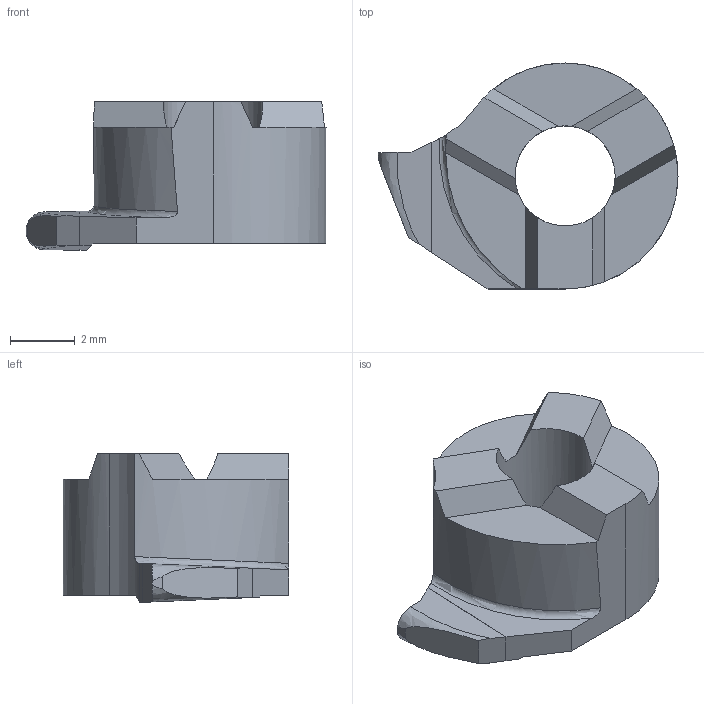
import cadquery as cq
import math


body_radius = 3.5
bore_radius = 1.55
body_height = 4.4
lug_height = 0.8
lug_count = 3
lug_top_half_width = 0.85
lug_flank_angle = math.radians(25)

joint_x = -4.13
rake_y = 0.73
rake_inner_x = -4.81
tail_angle = math.radians(25)
tail_blend_radius = 3.0
heel_angle = math.radians(33)
heel_start_x = -2.39

arm_mid_z = 0.39
arm_half_at_rake = 0.59
side_relief_degrees = 2.5
side_relief = math.tan(math.radians(side_relief_degrees))

wall_radius = 4.9
wall_center = (1.2, 0.83)
wall_fillet = 0.2
underside_step_x = -3.72

nose_x = -5.8
nose_sweep_radius = 5.8
land_length = 0.317
land_angle = math.radians(7)
flank_end_y = -1.9
nose_section_degrees = (-8, 8, 24, 40)

reach = 12.0


def heel_y(x):
    """Y of the slanting heel edge at the given X."""
    return -body_radius + (heel_start_x - x) * math.tan(heel_angle)


def heel_x(y):
    """X of the slanting heel edge at the given Y."""
    return heel_start_x - (y + body_radius) / math.tan(heel_angle)


def tail_y(x):
    """Y of the straight tail edge at the given X."""
    return rake_y + (x - rake_inner_x) * math.tan(tail_angle)


def tail_blend_points():
    """Start, middle and end of the arc that blends the tail edge into the body circle."""
    along = (math.cos(tail_angle), math.sin(tail_angle))
    outward = (-along[1], along[0])
    offset = outward[1] * rake_y + outward[0] * rake_inner_x + tail_blend_radius
    center_distance = body_radius + tail_blend_radius
    run = -math.sqrt(center_distance**2 - offset**2)
    center = (outward[0] * offset + along[0] * run, outward[1] * offset + along[1] * run)
    line_angle = tail_angle - math.pi / 2
    circle_angle = math.atan2(-center[1], -center[0])
    angles = (line_angle, (line_angle + circle_angle) / 2, circle_angle)
    return [
        (center[0] + tail_blend_radius * math.cos(a), center[1] + tail_blend_radius * math.sin(a))
        for a in angles
    ]


def body_blank():
    """Prism of the body outline with the bore, deep enough to hold the underside pad."""
    blend_start, blend_middle, blend_end = tail_blend_points()
    return (
        cq.Workplane("XY", origin=(0, 0, -arm_half_at_rake))
        .moveTo(0, -body_radius)
        .lineTo(heel_start_x, -body_radius)
        .lineTo(joint_x, heel_y(joint_x))
        .lineTo(joint_x, tail_y(joint_x))
        .lineTo(*blend_start)
        .threePointArc(blend_middle, blend_end)
        .threePointArc((body_radius, 0), (0, -body_radius))
        .close()
        .extrude(body_height + arm_half_at_rake)
        .cut(cq.Workplane("XY").circle(bore_radius).extrude(2 * reach, both=True))
    )


def lug_gaps():
    """Space between the drive lugs, from their foot upwards."""
    foot_z = body_height - lug_height
    foot_half_width = lug_top_half_width + lug_height * math.tan(lug_flank_angle)
    gaps = cq.Workplane("XY", origin=(0, 0, foot_z)).circle(reach).extrude(lug_height)
    lug = (
        cq.Workplane("XZ")
        .polyline([
            (-foot_half_width, foot_z),
            (foot_half_width, foot_z),
            (lug_top_half_width, body_height),
            (-lug_top_half_width, body_height),
        ])
        .close()
        .extrude(reach)
    )
    for i in range(lug_count):
        gaps = gaps.cut(lug.rotate((0, 0, 0), (0, 0, 1), i * 360 / lug_count))
    return gaps


def relieved(shape, side):
    """Tilt a shape built on Z = 0 onto the upper (side 1) or lower (side -1) face of the arm."""
    return shape.rotate((0, rake_y, 0), (1, rake_y, 0), side * side_relief_degrees).translate(
        (0, 0, arm_mid_z + side * arm_half_at_rake)
    )


def space_above_arm():
    """Space over the arm, ending at the filleted curved wall that stands square to the arm."""
    space = (
        cq.Workplane("XY")
        .rect(4 * reach, 4 * reach)
        .extrude(reach)
        .cut(cq.Workplane("XY").center(*wall_center).circle(wall_radius).extrude(reach))
        .edges(cq.selectors.RadiusNthSelector(0))
        .edges("<Z")
        .fillet(wall_fillet)
    )
    return relieved(space, 1)


def space_below_arm():
    """Space under the relieved lower face of the arm."""
    space = cq.Workplane("XY").rect(4 * reach, 4 * reach).extrude(-reach)
    return relieved(space, -1)


def space_below_body():
    """Space under the flat underside, with a 45 degree step down to the arm pad."""
    return (
        cq.Workplane("XZ")
        .polyline([(underside_step_x, 0), (underside_step_x - reach, -reach), (reach, -reach), (reach, 0)])
        .close()
        .extrude(reach, both=True)
    )


def insert_body():
    """Clamping body with lugs, curved wall and the arm up to the joint."""
    body = body_blank().cut(lug_gaps()).cut(space_above_arm())
    return body.cut(space_below_arm()).cut(space_below_body())


def nose_section(angle):
    """Radial section of the nose, a wedge ending in a full round, at an angle past the cutting face."""
    taper = math.atan(side_relief * math.sin(angle))
    round_center = (nose_sweep_radius - arm_half_at_rake * math.cos(taper)) / (1 - math.sin(taper))
    round_radius = nose_sweep_radius - round_center
    tangent_r = round_center + round_radius * math.sin(taper)
    tangent_z = round_radius * math.cos(taper)
    inner_r = nose_sweep_radius / 2
    inner_z = arm_half_at_rake - inner_r * math.tan(taper)

    def place(r, z):
        x = nose_x + nose_sweep_radius - r * math.cos(angle)
        return cq.Vector(x, rake_y - r * math.sin(angle), arm_mid_z + z)

    upper_inner = place(inner_r, inner_z)
    lower_inner = place(inner_r, -inner_z)
    upper_tangent = place(tangent_r, tangent_z)
    lower_tangent = place(tangent_r, -tangent_z)
    return cq.Wire.assembleEdges([
        cq.Edge.makeLine(lower_inner, lower_tangent),
        cq.Edge.makeThreePointArc(lower_tangent, place(nose_sweep_radius, 0), upper_tangent),
        cq.Edge.makeLine(upper_tangent, upper_inner),
        cq.Edge.makeLine(upper_inner, lower_inner),
    ])


def cutting_tip():
    """Round-nosed tip: the swept nose trimmed to the cutting face, land, flank, heel and joint."""
    section_angles = [math.radians(a) for a in nose_section_degrees]
    swept_nose = cq.Workplane(cq.Solid.makeLoft([nose_section(a) for a in section_angles]))
    outline = (
        cq.Workplane("XY")
        .polyline([
            (nose_x, rake_y),
            (rake_inner_x, rake_y),
            (joint_x, tail_y(joint_x)),
            (joint_x, heel_y(joint_x)),
            (heel_x(flank_end_y), flank_end_y),
            (nose_x + land_length * math.tan(land_angle), rake_y - land_length),
        ])
        .close()
        .extrude(reach, both=True)
    )
    return outline.intersect(swept_nose)


body = insert_body()
tip = cutting_tip()
result = cq.Compound.makeCompound([*body.solids().vals(), *tip.solids().vals()])